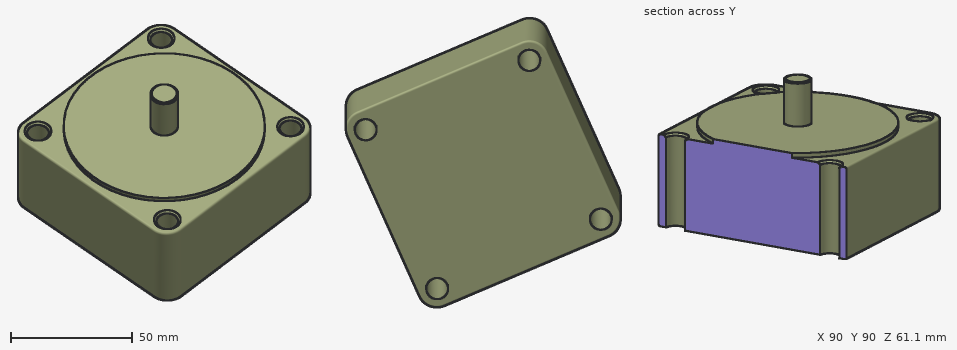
import cadquery as cq

body_side = 90.0
body_height = 40.05
corner_radius = 8.0
body_edge_radius = 1.0

pilot_diameter = 83.0
pilot_height = 2.0
total_height = 61.1
shaft_diameter = 11.4
shaft_chamfer = 0.5
shaft_height = total_height - body_height - pilot_height

hole_spacing = 73.6
hole_diameter = 9.0
hole_rim_diameter = 11.0
hole_chamfer = (hole_rim_diameter - hole_diameter) / 2


def make_body():
    block = cq.Workplane("XY").box(body_side, body_side, body_height, centered=(True, True, False))
    rounded = block.edges("|Z").fillet(corner_radius)
    return rounded.faces("<Z or >Z").edges().fillet(body_edge_radius)


def make_pilot():
    return cq.Workplane("XY").workplane(offset=body_height).circle(pilot_diameter / 2).extrude(pilot_height)


def make_shaft():
    shaft_base = cq.Workplane("XY").workplane(offset=body_height + pilot_height)
    shaft = shaft_base.circle(shaft_diameter / 2).extrude(shaft_height)
    return shaft.faces(">Z").edges().chamfer(shaft_chamfer)


def make_hole_cutters():
    """Through holes with a 45 degree countersink at the top face."""
    corners = cq.Workplane("XY").rect(hole_spacing, hole_spacing, forConstruction=True).vertices()
    drills = corners.circle(hole_diameter / 2).extrude(body_height)
    top_corners = (
        cq.Workplane("XY")
        .workplane(offset=body_height)
        .rect(hole_spacing, hole_spacing, forConstruction=True)
        .vertices()
    )
    countersinks = top_corners.circle(hole_rim_diameter / 2).extrude(-hole_chamfer, taper=45)
    return drills.union(countersinks)


result = make_body().cut(make_hole_cutters()).union(make_pilot()).union(make_shaft())